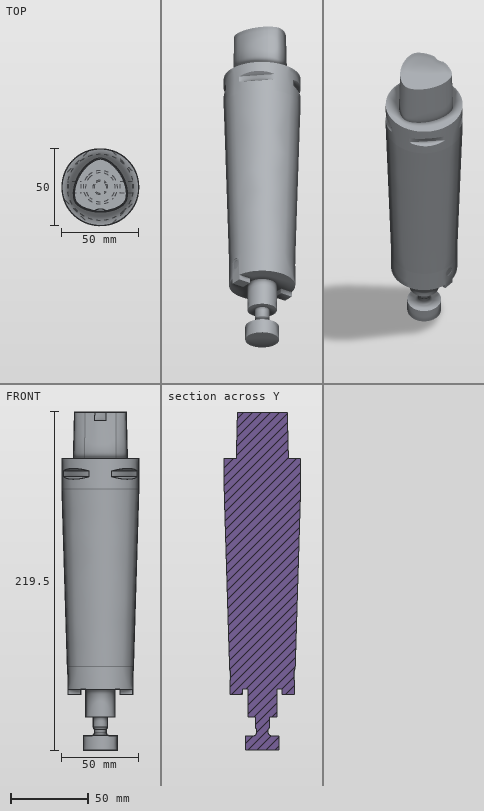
import cadquery as cq
import math

shank_length = 30.0
flange_bottom = -20.0
taper_bottom = -135.0
body_bottom = -150.0
spigot_bottom = -168.0
pilot_bottom = -174.5
neck_top = -176.0
disc_top = -180.0
disc_bottom = -189.5

flange_diameter = 50.0
nose_diameter = 43.0
spigot_diameter = 19.05
pilot_diameter = 9.53
neck_diameter = 7.9
flare_radius = 2.0
disc_diameter = 22.0

shank_mean_diameter = 35.15
shank_eccentricity = 1.4
shank_taper = 1 / 20
lobe_count = 3
lobe_half_angle = 37.0
first_lobe_angle = 90.0
spline_points = 9

notch_radius = 6.25
notch_depth_from_top = 5.5
notch_inner_y = -14.05

groove_count = 4
groove_first_angle = 45.0
groove_wall_distance = 22.1
groove_wall_height = 3.7
groove_flank_angle = 30.0
groove_center_z = -10.0

key_width = 7.4
key_outer_x = 21.1
key_inner_x = 12.6
key_bottom = -153.3
key_center_z = -140.5
screw_diameter = 6.0
screw_center_z = -140.9
screw_recess = 0.3


def polygon_point(mean_diameter, normal_angle, z):
    """Point of the constant-width lobed outline whose outward normal has the given angle."""
    lobe_phase = math.radians(lobe_count * (normal_angle - first_lobe_angle))
    normal = math.radians(normal_angle)
    support = mean_diameter / 2 + shank_eccentricity * math.cos(lobe_phase)
    slope = -lobe_count * shank_eccentricity * math.sin(lobe_phase)
    x = support * math.cos(normal) - slope * math.sin(normal)
    y = support * math.sin(normal) + slope * math.cos(normal)
    return cq.Vector(x, y, z)


def polygon_edge(mean_diameter, start_angle, end_angle, z):
    step = (end_angle - start_angle) / (spline_points - 1)
    angles = [start_angle + i * step for i in range(spline_points)]
    points = [polygon_point(mean_diameter, angle, z) for angle in angles]
    tangents = [
        cq.Vector(-math.sin(math.radians(angle)), math.cos(math.radians(angle)), 0)
        for angle in (start_angle, end_angle)
    ]
    return cq.Edge.makeSpline(points, tangents=tangents)


def polygon_wire(mean_diameter, z):
    pitch = 360 / lobe_count
    edges = []
    for i in range(lobe_count):
        lobe_angle = first_lobe_angle + i * pitch
        lobe_start = lobe_angle - lobe_half_angle
        lobe_end = lobe_angle + lobe_half_angle
        edges.append(polygon_edge(mean_diameter, lobe_start, lobe_end, z))
        edges.append(polygon_edge(mean_diameter, lobe_end, lobe_start + pitch, z))
    return cq.Wire.assembleEdges(edges)


def make_shank():
    top_diameter = shank_mean_diameter - shank_taper * shank_length
    bottom_wire = polygon_wire(shank_mean_diameter, 0)
    top_wire = polygon_wire(top_diameter, shank_length)
    shank = cq.Workplane(cq.Solid.makeLoft([bottom_wire, top_wire], True))
    notch = (
        cq.Workplane("XY", origin=(0, notch_inner_y - notch_radius, shank_length - notch_depth_from_top))
        .circle(notch_radius)
        .extrude(notch_depth_from_top)
    )
    return shank.cut(notch)


def make_turned_body():
    return (
        cq.Workplane("XZ")
        .moveTo(0, 0)
        .lineTo(flange_diameter / 2, 0)
        .lineTo(flange_diameter / 2, flange_bottom)
        .lineTo(nose_diameter / 2, taper_bottom)
        .lineTo(nose_diameter / 2, body_bottom)
        .lineTo(spigot_diameter / 2, body_bottom)
        .lineTo(spigot_diameter / 2, spigot_bottom)
        .lineTo(pilot_diameter / 2, spigot_bottom)
        .lineTo(pilot_diameter / 2, pilot_bottom)
        .lineTo(neck_diameter / 2, neck_top)
        .lineTo(neck_diameter / 2, disc_top + flare_radius)
        .radiusArc((neck_diameter / 2 + flare_radius, disc_top), -flare_radius)
        .lineTo(disc_diameter / 2, disc_top)
        .lineTo(disc_diameter / 2, disc_bottom)
        .lineTo(0, disc_bottom)
        .close()
        .revolve(360, (0, 0, 0), (0, 1, 0))
    )


def make_groove_cutter(angle):
    """Trapezoidal prism with an upright inner wall and flanks that open outwards."""
    depth = flange_diameter / 2 - groove_wall_distance
    inner_half = groove_wall_height / 2
    outer_half = inner_half + depth * math.tan(math.radians(groove_flank_angle))
    outer_distance = flange_diameter / 2
    return (
        cq.Workplane("XZ")
        .moveTo(groove_wall_distance, groove_center_z - inner_half)
        .lineTo(outer_distance, groove_center_z - outer_half)
        .lineTo(outer_distance, groove_center_z + outer_half)
        .lineTo(groove_wall_distance, groove_center_z + inner_half)
        .close()
        .extrude(flange_diameter / 2, both=True)
        .rotate((0, 0, 0), (0, 0, 1), angle)
    )


def key_outline(x):
    """Straight-sided outline with a round upper end, in the plane at the given X."""
    half_width = key_width / 2
    return (
        cq.Workplane("YZ", origin=(x, 0, 0))
        .moveTo(-half_width, key_bottom)
        .lineTo(half_width, key_bottom)
        .lineTo(half_width, key_center_z)
        .threePointArc((0, key_center_z + half_width), (-half_width, key_center_z))
        .close()
    )


def add_drive_key(body, side_angle):
    """Cut the key seat open to the outside, then set the key and its screw recess in it."""
    seat = key_outline(key_inner_x).extrude(nose_diameter / 2 - key_inner_x)
    key = key_outline(key_inner_x).extrude(key_outer_x - key_inner_x)
    recess = (
        cq.Workplane("YZ", origin=(key_outer_x - screw_recess, 0, screw_center_z))
        .circle(screw_diameter / 2)
        .extrude(screw_recess)
    )
    seat, key = (s.rotate((0, 0, 0), (0, 0, 1), side_angle) for s in (seat, key.cut(recess)))
    return body.cut(seat).union(key)


result = make_turned_body()
for groove_index in range(groove_count):
    groove_angle = groove_first_angle + groove_index * 360 / groove_count
    result = result.cut(make_groove_cutter(groove_angle))
for key_angle in (0, 180):
    result = add_drive_key(result, key_angle)
result = result.union(make_shank())